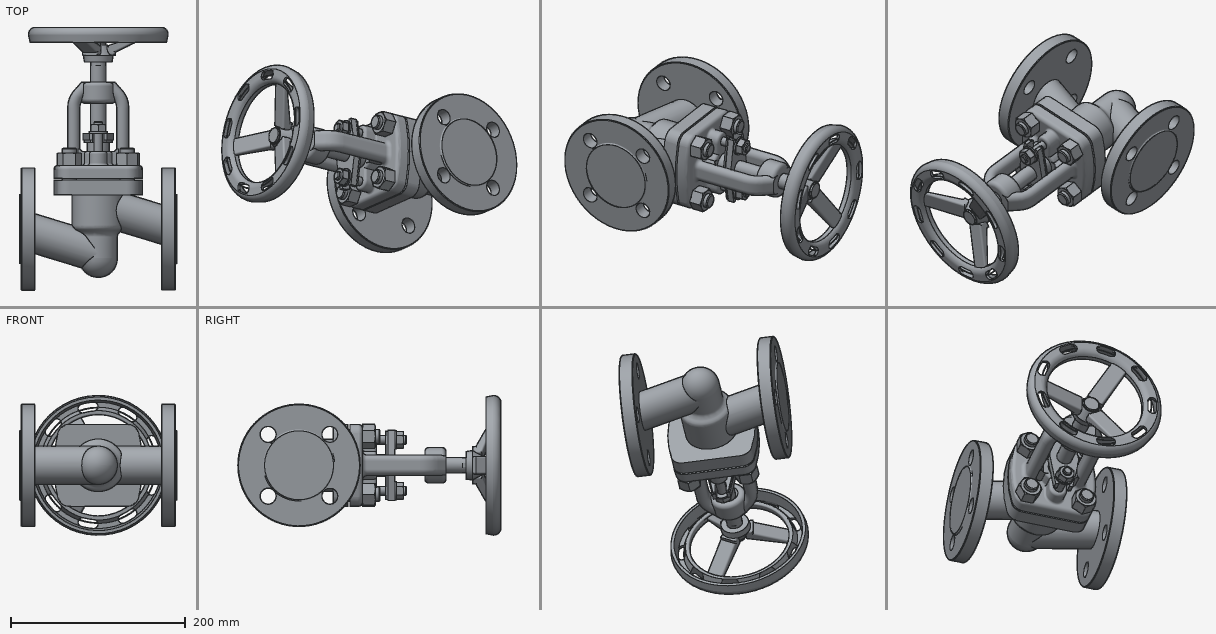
import cadquery as cq
import math


face_to_face = 180.0
raised_face_height = 1.8
raised_face_radius = 39.5
raised_face_fillet = 1.5
flange_radius = 70.0
flange_thickness = 16.0
flange_edge_chamfer = 1.0
bolt_circle_radius = 50.0
bolt_hole_diameter = 18.0

pipe_radius = 22.0
pipe_offset = 27.5
pipe_end_x = 81.3
ball_center_y = -33.5
bowl_radius = 30.0
bowl_bottom_y = 4.0
neck_top_y = -9.0

plate_half_width = 51.0
plate_half_depth = 47.0
plate_side_radius = 150.5
plate_corner_radius = 13.5
body_plate_bottom_y = 39.0
body_plate_top_y = 56.0
bonnet_bottom_y = 58.0
bonnet_top_y = 72.8
bonnet_edge_fillet = 4.8
gasket_radius = 41.0

bolt_spacing = 66.2
bonnet_nut_flats = 24.0
bonnet_nut_height = 14.5
bonnet_stud_radius = 8.0
bonnet_stud_tip_y = 92.7
thread_chamfer = 1.2

box_radius = 19.0
box_top_y = 88.8
box_lug_radius = 10.2
box_top_fillet = 3.0
box_root_fillet = 2.5
bridge_width = 20.5
bridge_flare = 2.7
gland_stud_z = 29.2
gland_stud_radius = 5.0
gland_stud_tip_y = 123.0
gland_tube_radius = 12.5
gland_bottom_y = 99.0
gland_rim_y = 101.7
gland_top_y = 109.5
gland_half_width = 17.5
gland_end_half_width = 10.2
gland_half_length = 40.3
gland_bottom_inset = 1.2
gland_slot_width = 12.5
gland_washer_radius = 10.5
gland_washer_height = 2.0
gland_nut_flats = 17.0
gland_nut_height = 8.0

arm_center_x = 28.0
arm_thickness = 14.0
arm_width = 23.8
arm_straight_top_y = 138.8
arm_bend_radius = 23.2
arm_bend_angle = 42.0
arm_lean_length = 18.0
arm_root_fillet = 4.8
yoke_boss_radius = 20.5
yoke_boss_bottom_y = 144.0
yoke_boss_top_y = 168.3
yoke_boss_fillet = 4.8
boss_countersink_radius = 12.0

stem_radius = 9.0
stem_top_y = 213.0
square_flats = 17.5
square_start_y = 187.0

wheel_radius = 80.0
wheel_top_y = 231.0
wheel_bottom_y = 213.7
wheel_crown_y = 222.5
rim_bottom_radius = 78.3
rim_top_radius = 74.0
rim_lip_radius = 74.5
rim_channel_outer = 72.2
rim_channel_inner = 66.5
inner_wall_outer_radius = 62.5
rim_inner_radius = 57.8
inner_wall_bottom_y = 219.0
inner_wall_top_y = 225.5
inner_wall_edge_round = 1.5
inner_shoulder_radius = 9.0
rim_web_thickness = 3.0
vent_count = 9
vent_circle_radius = 67.5
vent_width = 10.0
vent_length = 23.0
hub_bottom_y = 191.0
hub_collar_top_y = 198.7
hub_top_y = 210.7
hub_bottom_radius = 16.0
hub_collar_radius = 17.2
hub_top_radius = 10.2
spoke_count = 3
spoke_width = 20.5
spoke_edge_fillet = 2.0
spoke_root_radius = 20.0
spoke_root_bottom_y = 202.3
spoke_root_top_y = 209.5
spoke_tip_radius = 60.8
spoke_tip_bottom_y = 222.5
spoke_tip_top_y = 227.3

pick_margin = 0.3


def plane_at(y, x=0, z=0):
    """Work plane across the stem axis; local x is X and local y is Z."""
    return cq.Workplane("XZ", origin=(x, y, z))


def cylinder(radius, y_low, y_high, x=0, z=0):
    return plane_at(y_low, x, z).circle(radius).extrude(y_low - y_high)


def spin(profile):
    """Revolve a closed (radius, y) profile around the stem axis."""
    return profile.close().revolve(360, (0, 0, 0), (0, 1, 0))


def turn(solid, angle):
    """Rotate a solid around the stem axis."""
    return solid.rotate((0, 0, 0), (0, 1, 0), angle)


def stud(radius, y_low, y_high, x, z):
    return cylinder(radius, y_low, y_high, x, z).faces(">Y").chamfer(thread_chamfer)


def hex_nut(across_flats, height, y_low, x, z, turn_angle):
    """Hexagon nut with its upper corners turned off at 30 degrees."""
    corner_radius = across_flats / math.sqrt(3)
    flat_radius = across_flats / 2
    drop = (corner_radius - flat_radius) * math.tan(math.radians(30))
    nut = plane_at(0).polygon(6, 2 * corner_radius).extrude(-height)
    envelope = spin(
        cq.Workplane("XY")
        .lineTo(corner_radius, 0)
        .lineTo(corner_radius, height - drop)
        .lineTo(flat_radius, height)
        .lineTo(0, height)
    )
    return turn(nut.intersect(envelope), turn_angle).translate((x, y_low, z))


def pipe_flange():
    """Flange on the +X end, with a filleted raised face and four bolt holes."""
    seal_x = face_to_face / 2
    face_x = seal_x - raised_face_height
    back_x = face_x - flange_thickness
    plate = (
        cq.Workplane("YZ", origin=(back_x, 0, 0))
        .circle(flange_radius)
        .extrude(flange_thickness)
        .edges()
        .chamfer(flange_edge_chamfer)
    )
    raised_face = (
        cq.Workplane("YZ", origin=(face_x, 0, 0)).circle(raised_face_radius).extrude(raised_face_height)
    )
    flange = plate.union(raised_face)
    reach = raised_face_radius + pick_margin
    root = cq.selectors.BoxSelector(
        (face_x - pick_margin, -reach, -reach), (face_x + pick_margin, reach, reach), boundingbox=True
    )
    flange = flange.edges(root).fillet(raised_face_fillet)
    holes = (
        cq.Workplane("YZ", origin=(back_x, 0, 0))
        .polarArray(bolt_circle_radius, 45, 360, 4)
        .circle(bolt_hole_diameter / 2)
        .extrude(flange_thickness)
    )
    return flange.cut(holes)


def inclined_pipe():
    """Pipe from the +X flange up to the stem axis."""
    slope = pipe_offset / (face_to_face / 2)
    direction = cq.Vector(pipe_end_x, -slope * pipe_end_x, 0)
    start = cq.Vector(0, pipe_offset, 0)
    return cq.Workplane(cq.Solid.makeCylinder(pipe_radius, direction.Length, start, direction))


def bowl():
    """Bowl, S-shaped shoulder, neck and ball end as one turned shape."""
    shoulder_slope = (0, -1)
    return spin(
        cq.Workplane("XY")
        .moveTo(0, body_plate_bottom_y)
        .lineTo(bowl_radius, body_plate_bottom_y)
        .lineTo(bowl_radius, bowl_bottom_y)
        .spline([(pipe_radius, neck_top_y)], tangents=[shoulder_slope, shoulder_slope], includeCurrent=True)
        .lineTo(pipe_radius, ball_center_y)
        .tangentArcPoint((0, ball_center_y - pipe_radius), relative=False)
    )


def clamp_plate(y_low, y_high):
    """Plate with flat front and back, bowed sides and rounded corners."""
    sag = plate_side_radius - math.sqrt(plate_side_radius**2 - plate_half_depth**2)
    corner_x = plate_half_width - sag
    return (
        plane_at(y_low)
        .moveTo(-corner_x, -plate_half_depth)
        .lineTo(corner_x, -plate_half_depth)
        .threePointArc((plate_half_width, 0), (corner_x, plate_half_depth))
        .lineTo(-corner_x, plate_half_depth)
        .threePointArc((-plate_half_width, 0), (-corner_x, -plate_half_depth))
        .close()
        .extrude(y_low - y_high)
        .edges("|Y")
        .fillet(plate_corner_radius)
    )


def body():
    flange = pipe_flange()
    pipe = inclined_pipe()
    half_turn = ((0, 0, 0), (0, 0, 1), 180)
    return (
        bowl()
        .union(pipe)
        .union(pipe.rotate(*half_turn))
        .union(flange)
        .union(flange.rotate(*half_turn))
        .union(clamp_plate(body_plate_bottom_y, body_plate_top_y))
        .union(cylinder(gasket_radius, body_plate_top_y, bonnet_bottom_y))
    )


def arm_section(y):
    return plane_at(y, arm_center_x).slot2D(arm_width, arm_thickness, 90)


def yoke_arm():
    """Arm on the +X side: straight, then bent inwards to the yoke boss."""
    straight = arm_section(bonnet_top_y).extrude(bonnet_top_y - arm_straight_top_y)
    bend = math.radians(arm_bend_angle)
    bend_end = (
        arm_center_x - arm_bend_radius * (1 - math.cos(bend)),
        arm_straight_top_y + arm_bend_radius * math.sin(bend),
    )
    path = (
        cq.Workplane("XY")
        .moveTo(arm_center_x, arm_straight_top_y)
        .radiusArc(bend_end, -arm_bend_radius)
        .line(-arm_lean_length * math.sin(bend), arm_lean_length * math.cos(bend))
    )
    leaning = arm_section(arm_straight_top_y).sweep(path)
    below_boss_top = cylinder(2 * arm_center_x, bonnet_top_y, yoke_boss_top_y)
    return straight.union(leaning.intersect(below_boss_top))


def stuffing_box():
    """Round box with a lug for each gland stud."""
    height = box_top_y - bonnet_top_y
    lug_length = 2 * (gland_stud_z + box_lug_radius)
    lugs = plane_at(bonnet_top_y).slot2D(lug_length, 2 * box_lug_radius, 90).extrude(-height)
    box = cylinder(box_radius, bonnet_top_y, box_top_y).union(lugs)
    return box.faces(">Y").edges().fillet(box_top_fillet)


def arm_bridge():
    """Web between the box and the +X arm, flared upwards against the arm."""
    arm_inner_x = arm_center_x - arm_thickness / 2
    return (
        cq.Workplane("XY")
        .moveTo(gland_tube_radius, bonnet_top_y)
        .lineTo(gland_tube_radius, box_top_y)
        .lineTo(arm_inner_x - bridge_flare, box_top_y)
        .lineTo(arm_inner_x, box_top_y + bridge_flare)
        .lineTo(arm_center_x, box_top_y + bridge_flare)
        .lineTo(arm_center_x, bonnet_top_y)
        .close()
        .extrude(bridge_width / 2, both=True)
    )


def root_fillet(solid, radius):
    """Fillet everything that stands on the flat of the bonnet plate."""
    flat_x = plate_half_width - plate_corner_radius
    flat_z = plate_half_depth - bonnet_edge_fillet - pick_margin
    foot = cq.selectors.BoxSelector(
        (-flat_x, bonnet_top_y - pick_margin, -flat_z),
        (flat_x, bonnet_top_y + pick_margin, flat_z),
        boundingbox=True,
    )
    return solid.edges(foot).fillet(radius)


def boss_countersink():
    """45-degree cone around the stem in the underside of the yoke boss."""
    return spin(
        cq.Workplane("XY")
        .moveTo(0, yoke_boss_bottom_y)
        .lineTo(boss_countersink_radius, yoke_boss_bottom_y)
        .lineTo(0, yoke_boss_bottom_y + boss_countersink_radius)
    )


def bonnet():
    plate = clamp_plate(bonnet_bottom_y, bonnet_top_y).faces(">Y").edges().fillet(bonnet_edge_fillet)
    arm = yoke_arm()
    bridge = arm_bridge()
    plate_with_arms = root_fillet(plate.union(arm).union(turn(arm, 180)), arm_root_fillet)
    plate_with_box = root_fillet(plate.union(stuffing_box()), box_root_fillet)
    boss = (
        cylinder(yoke_boss_radius, yoke_boss_bottom_y, yoke_boss_top_y).edges().fillet(yoke_boss_fillet)
    )
    return (
        plate_with_arms.union(plate_with_box)
        .union(bridge)
        .union(turn(bridge, 180))
        .union(boss)
        .cut(boss_countersink())
    )


def bonnet_bolting():
    """Four studs with nuts; each nut is a quarter turn from the next."""
    offset = bolt_spacing / 2
    corner = stud(bonnet_stud_radius, body_plate_top_y, bonnet_stud_tip_y, -offset, offset).union(
        hex_nut(bonnet_nut_flats, bonnet_nut_height, bonnet_top_y, -offset, offset, 0)
    )
    bolting = corner
    for quarter in range(1, 4):
        bolting = bolting.union(turn(corner, 90 * quarter))
    return bolting


def gland_outline(y, inset):
    half_width = gland_half_width - inset
    end_half_width = gland_end_half_width - inset
    half_length = gland_half_length - inset
    corners = [
        (half_width, 0),
        (end_half_width, half_length),
        (-end_half_width, half_length),
        (-half_width, 0),
        (-end_half_width, -half_length),
        (end_half_width, -half_length),
    ]
    return plane_at(y).polyline(corners).close()


def gland():
    """Tapered gland flange with open end slots, its tube, studs and nuts."""
    rim = gland_outline(gland_rim_y, 0).extrude(gland_rim_y - gland_top_y)
    foot = gland_outline(gland_bottom_y, gland_bottom_inset).extrude(gland_bottom_y - gland_rim_y)
    part = rim.union(foot)
    slot_length = 2 * (gland_half_length - gland_stud_z) + gland_slot_width
    for side in (-1, 1):
        slot = (
            plane_at(gland_bottom_y, 0, side * gland_half_length)
            .slot2D(slot_length, gland_slot_width, 90)
            .extrude(gland_bottom_y - gland_top_y)
        )
        part = part.cut(slot)
    part = part.union(cylinder(gland_tube_radius, bonnet_top_y, gland_top_y))
    nut_y = gland_top_y + gland_washer_height
    for z in (-gland_stud_z, gland_stud_z):
        part = (
            part.union(stud(gland_stud_radius, bonnet_top_y, gland_stud_tip_y, 0, z))
            .union(cylinder(gland_washer_radius, gland_top_y, nut_y, 0, z))
            .union(hex_nut(gland_nut_flats, gland_nut_height, nut_y, 0, z, 90))
        )
    return part


def stem():
    """Round stem with a driving square at the handwheel end."""
    square_length = stem_top_y - square_start_y
    square = plane_at(square_start_y).rect(square_flats, square_flats).extrude(-square_length)
    round_end = cylinder(stem_radius, square_start_y, stem_top_y)
    return cylinder(stem_radius, bonnet_top_y, square_start_y).union(round_end.intersect(square))


def wheel_rim():
    """Channel-shaped rim, open below, with vent slots through its web."""
    web_y = wheel_top_y - rim_web_thickness
    crown_run = wheel_radius - rim_top_radius
    crown_rise = wheel_top_y - wheel_crown_y
    crown_arc_radius = (crown_run**2 + crown_rise**2) / (2 * crown_run)
    rim = spin(
        cq.Workplane("XY")
        .moveTo(rim_inner_radius, inner_wall_bottom_y + inner_wall_edge_round)
        .radiusArc((rim_inner_radius + inner_wall_edge_round, inner_wall_bottom_y), -inner_wall_edge_round)
        .lineTo(inner_wall_outer_radius, inner_wall_bottom_y)
        .lineTo(rim_channel_inner, web_y)
        .lineTo(rim_channel_outer, web_y)
        .lineTo(rim_lip_radius, wheel_bottom_y)
        .lineTo(rim_bottom_radius, wheel_bottom_y)
        .lineTo(wheel_radius, wheel_crown_y)
        .radiusArc((rim_top_radius, wheel_top_y), -crown_arc_radius)
        .lineTo(rim_channel_inner, wheel_top_y)
        .radiusArc((rim_inner_radius, inner_wall_top_y), -inner_shoulder_radius)
    )
    half_arc = math.degrees((vent_length - vent_width) / 2 / vent_circle_radius)
    for index in range(vent_count):
        center_angle = 180 + index * 360 / vent_count
        rim = rim.cut(vent(center_angle - half_arc, center_angle + half_arc))
    return rim


def vent(start, end):
    """Curved slot with round ends between two angles around the stem axis."""
    depth = wheel_top_y - wheel_bottom_y

    def at(radius, degrees):
        angle = math.radians(degrees)
        return (radius * math.cos(angle), radius * math.sin(angle))

    inner = vent_circle_radius - vent_width / 2
    outer = vent_circle_radius + vent_width / 2
    middle = (start + end) / 2
    overrun = math.degrees(vent_width / 2 / vent_circle_radius)
    return (
        plane_at(wheel_bottom_y)
        .moveTo(*at(outer, start))
        .threePointArc(at(outer, middle), at(outer, end))
        .threePointArc(at(vent_circle_radius, end + overrun), at(inner, end))
        .threePointArc(at(inner, middle), at(inner, start))
        .threePointArc(at(vent_circle_radius, start - overrun), at(outer, start))
        .close()
        .extrude(-depth)
    )


def wheel_spoke():
    """Spoke towards +X, rising from the hub to the inner wall of the rim."""
    return (
        cq.Workplane("XY")
        .moveTo(hub_top_radius, spoke_root_top_y)
        .lineTo(hub_top_radius, hub_collar_top_y)
        .lineTo(spoke_root_radius, hub_collar_top_y)
        .lineTo(spoke_root_radius, spoke_root_bottom_y)
        .lineTo(spoke_tip_radius, spoke_tip_bottom_y)
        .lineTo(spoke_tip_radius, spoke_tip_top_y)
        .close()
        .extrude(spoke_width / 2, both=True)
        .edges("not |Z")
        .fillet(spoke_edge_fillet)
    )


def handwheel():
    hub = spin(
        cq.Workplane("XY")
        .moveTo(0, hub_bottom_y)
        .lineTo(hub_bottom_radius, hub_bottom_y)
        .lineTo(hub_collar_radius, hub_collar_top_y)
        .lineTo(hub_top_radius, hub_top_y)
        .lineTo(0, hub_top_y)
    )
    wheel = hub.union(wheel_rim())
    spoke = wheel_spoke()
    for index in range(spoke_count):
        wheel = wheel.union(turn(spoke, index * 360 / spoke_count))
    return wheel


result = (
    body()
    .union(bonnet())
    .union(bonnet_bolting())
    .union(gland())
    .union(stem())
    .union(handwheel())
)